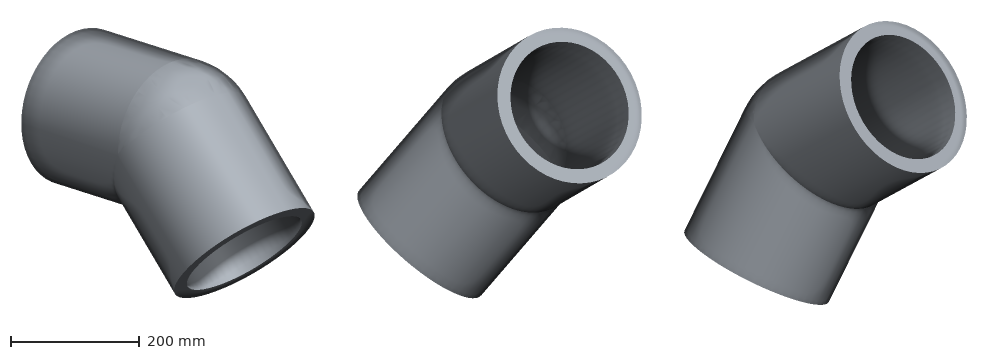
import cadquery as cq
import math

outer_diameter = 250.0
bore_diameter = 204.5
leg_length = 217.0
bend_angle = 45.0

bend = math.radians(bend_angle)
inlet_direction = cq.Vector(-1, 0, 0)
outlet_direction = cq.Vector(math.cos(bend), 0, -math.sin(bend))
bend_centre = cq.Vector(0, 0, 0)


def leg(diameter, direction):
    """Solid cylinder running from the bend centre to an open end."""
    return cq.Workplane(cq.Solid.makeCylinder(diameter / 2, leg_length, bend_centre, direction))


def bend_wedge(diameter):
    """Spherical wedge filling the gap between the two legs on the outside of the bend."""
    radius = diameter / 2
    return (
        cq.Workplane("YZ")
        .moveTo(-radius, 0)
        .threePointArc((0, radius), (radius, 0))
        .close()
        .revolve(bend_angle, (0, 0), (1, 0))
    )


def elbow_solid(diameter):
    """Two legs joined by the spherical wedge."""
    legs = leg(diameter, inlet_direction).union(leg(diameter, outlet_direction))
    return legs.union(bend_wedge(diameter))


result = elbow_solid(outer_diameter).cut(elbow_solid(bore_diameter))